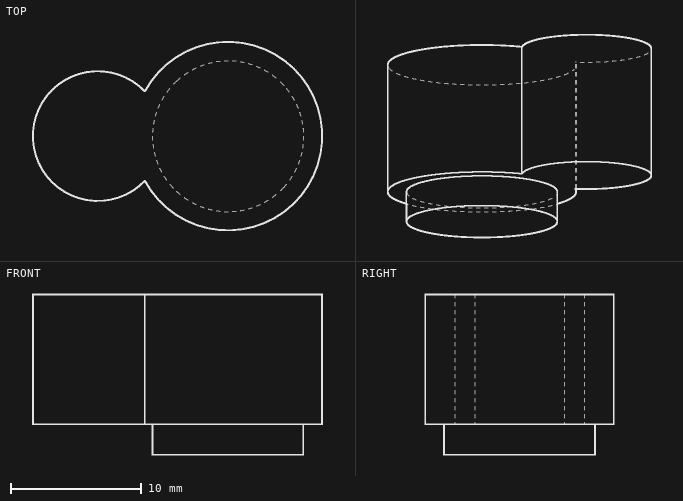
import cadquery as cq

total_length = 22.22
total_height = 12.3
large_diameter = 14.49
small_diameter = 9.98
body_height = 9.98
spigot_diameter = 11.6

center_spacing = total_length - (large_diameter + small_diameter) / 2
spigot_height = total_height - body_height


def upright_cylinder(diameter, height, center_x=0.0):
    """Cylinder along Z, standing on the plane Z = 0."""
    return cq.Workplane("XY").center(center_x, 0).circle(diameter / 2).extrude(height)


large_lobe = upright_cylinder(large_diameter, body_height)
small_lobe = upright_cylinder(small_diameter, body_height, -center_spacing)

spigot = upright_cylinder(spigot_diameter, -spigot_height)

result = large_lobe.union(small_lobe).union(spigot)